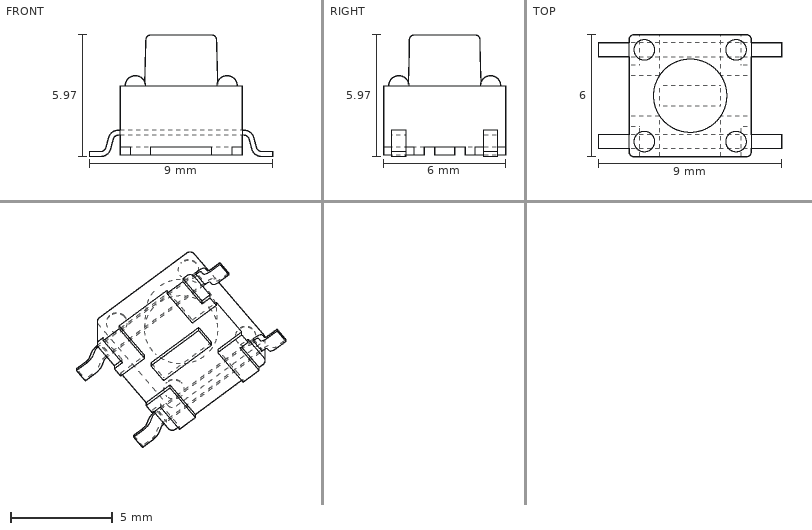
import cadquery as cq
import math


housing_side = 6.0
housing_height = 3.4
corner_radius = 0.25
half_side = housing_side / 2

relief_depth = 0.4
corner_notch_x = 0.5
corner_notch_y = 1.5
groove_width = 3.0
channel_outer_y = 1.0
center_block_y = 1.0

dome_radius = 0.5
dome_offset = 2.25

button_radius = 1.8
button_height = 2.5
button_draft = 1.5
button_fillet = 0.25

contact_span = 9.0
contact_width = 0.7
contact_thickness = 0.25
contact_offset_y = 2.25
contact_drop = 0.067
bend_radius = 0.38
bend_angle = 75.0
leg_length = 0.5
sole_length = 0.56

corner_signs = [(sx, sy) for sx in (-1, 1) for sy in (-1, 1)]


def box_on_base(width_x, width_y, height, x=0, y=0):
    """Box centred on (x, y) that stands on Z = 0."""
    box = cq.Workplane("XY").box(width_x, width_y, height, centered=(True, True, False))
    return box.translate((x, y, 0))


def make_relief():
    """Everything removed from the bottom of the housing to form the feet."""
    channels = box_on_base(housing_side, 2 * channel_outer_y, relief_depth)
    groove = box_on_base(groove_width, housing_side, relief_depth)
    center_block = box_on_base(groove_width, center_block_y, relief_depth)
    relief = channels.union(groove).cut(center_block)
    for sx, sy in corner_signs:
        notch = box_on_base(
            2 * corner_notch_x, 2 * corner_notch_y, relief_depth, sx * half_side, sy * half_side
        )
        relief = relief.union(notch)
    return relief


def make_button():
    """Tapered round button with a rounded top edge."""
    return (
        cq.Workplane("XY")
        .workplane(offset=housing_height)
        .circle(button_radius)
        .extrude(button_height, taper=button_draft)
        .faces(">Z")
        .edges()
        .fillet(button_fillet)
    )


def make_dome(x, y):
    """Ball centred on the top face, whose upper half stands out."""
    return cq.Workplane("XY").sphere(dome_radius).translate((x, y, housing_height))


def make_housing():
    """Square housing with rounded corners, feet, domes and button."""
    housing = (
        box_on_base(housing_side, housing_side, housing_height)
        .edges("|Z")
        .fillet(corner_radius)
        .cut(make_relief())
    )
    for sx, sy in corner_signs:
        housing = housing.union(make_dome(sx * dome_offset, sy * dome_offset))
    return housing.union(make_button())


def make_contact(y):
    """Strip that crosses the housing and bends down to a flat sole at each end."""
    angle = math.radians(bend_angle)
    bend_x = bend_radius * math.sin(angle)
    bend_z = bend_radius * (1 - math.cos(angle))
    leg_x = leg_length * math.cos(angle)
    leg_z = leg_length * math.sin(angle)

    end_x = contact_span / 2
    sole_x = end_x - sole_length
    leg_bottom_x = sole_x - bend_x
    leg_top_x = leg_bottom_x - leg_x
    strip_x = leg_top_x - bend_x

    sole_z = contact_thickness / 2 - contact_drop
    leg_bottom_z = sole_z + bend_z
    leg_top_z = leg_bottom_z + leg_z
    strip_z = leg_top_z + bend_z

    path = (
        cq.Workplane("XZ", origin=(0, y, 0))
        .moveTo(-end_x, sole_z)
        .lineTo(-sole_x, sole_z)
        .tangentArcPoint((-leg_bottom_x, leg_bottom_z), relative=False)
        .lineTo(-leg_top_x, leg_top_z)
        .tangentArcPoint((-strip_x, strip_z), relative=False)
        .lineTo(strip_x, strip_z)
        .tangentArcPoint((leg_top_x, leg_top_z), relative=False)
        .lineTo(leg_bottom_x, leg_bottom_z)
        .tangentArcPoint((sole_x, sole_z), relative=False)
        .lineTo(end_x, sole_z)
    )
    section = cq.Workplane("YZ", origin=(-end_x, y, sole_z)).rect(contact_width, contact_thickness)
    return section.sweep(path)


contacts = [make_contact(side * contact_offset_y) for side in (-1, 1)]

housing = make_housing()
for contact in contacts:
    housing = housing.cut(contact)

result = cq.Compound.makeCompound([housing.val(), *[contact.val() for contact in contacts]])